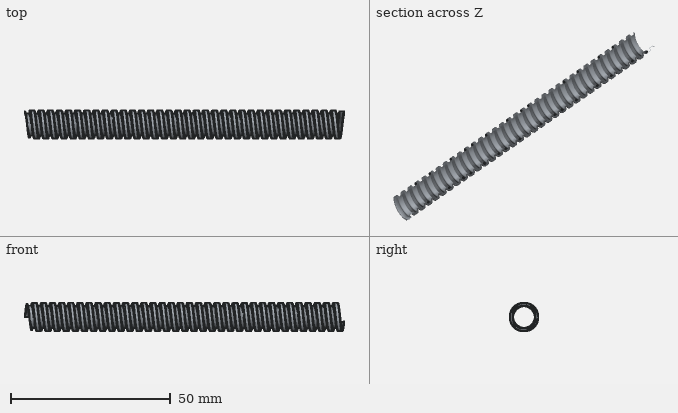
import cadquery as cq


length = 100.0
outer_diameter = 9.0
inner_diameter = 6.8
full_turns = 34
end_gap_angle = 20.0

strip_thickness = 0.15
leg_clearance = 0.03
outer_bend_radius = 0.3
inner_bend_radius = outer_bend_radius - strip_thickness

outer_radius = outer_diameter / 2
inner_radius = inner_diameter / 2
mean_radius = (outer_radius + inner_radius) / 2

turns = full_turns - end_gap_angle / 360
leg_overlap = 2 * strip_thickness + leg_clearance
pitch = (length - leg_overlap) / (turns + 1)
strip_width = pitch + leg_overlap
helix_height = pitch * turns


def point_towards(start, target, distance):
    """Point at a distance from start on the straight line to target."""
    step = cq.Vector(*target) - cq.Vector(*start)
    place = cq.Vector(*start) + step.normalized() * distance
    return (place.x, place.y)


def strip_section():
    """Closed S outline, drawn as (radius, place along the axis) from the strip edge at zero."""
    crest_top = outer_radius - mean_radius
    crest_under = crest_top - strip_thickness
    leg_tip = outer_bend_radius - crest_top
    web_half = strip_thickness / 2
    leg_outside = strip_width / 2
    leg_inside = leg_outside - strip_thickness

    lower_face = [
        (leg_tip, leg_inside, 0),
        (crest_under, leg_inside, inner_bend_radius),
        (crest_under, web_half, inner_bend_radius),
        (-crest_top, web_half, outer_bend_radius),
        (-crest_top, -leg_outside, outer_bend_radius),
        (-leg_tip, -leg_outside, 0),
    ]
    upper_face = [(-radial, -axial, bend) for radial, axial, bend in lower_face]
    corners = [
        ((mean_radius + radial, strip_width / 2 + axial), bend)
        for radial, axial, bend in lower_face + upper_face
    ]

    outline = cq.Workplane("XZ").moveTo(*corners[0][0])
    for index in range(1, len(corners)):
        corner, bend = corners[index]
        if bend == 0:
            outline = outline.lineTo(*corner)
            continue
        bend_start = point_towards(corner, corners[index - 1][0], bend)
        bend_end = point_towards(corner, corners[index + 1][0], bend)
        outline = outline.lineTo(*bend_start).tangentArcPoint(bend_end, relative=False)
    return outline.close()


def wound_strip():
    helix = cq.Wire.makeHelix(pitch, helix_height, mean_radius)
    return strip_section().sweep(cq.Workplane(obj=helix), isFrenet=True)


result = (
    wound_strip()
    .rotate((0, 0, 0), (1, 1, 1), 120)
    .translate((-length / 2, 0, 0))
)